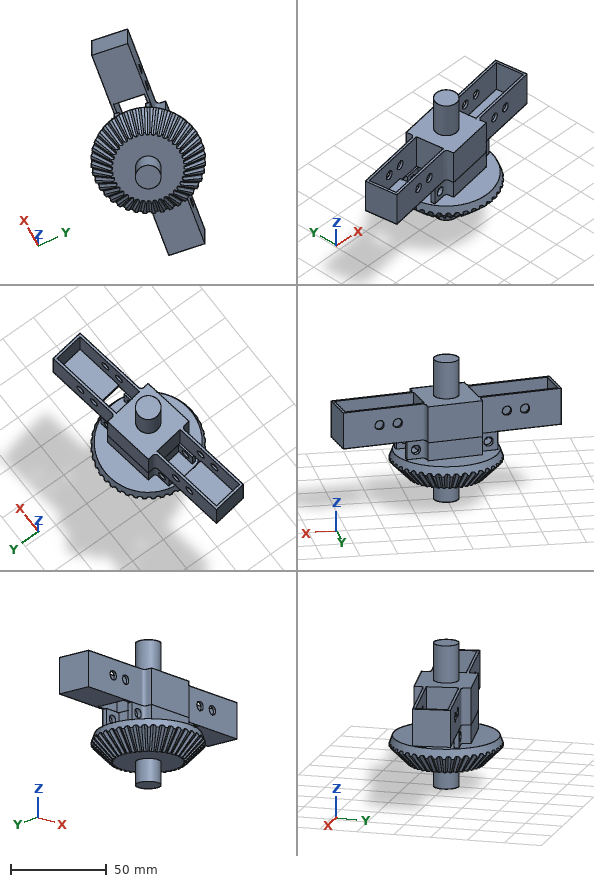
import cadquery as cq
import math

ARM_ANGLE = 8.5

SHAFT_DIAMETER = 13.4
SHAFT_LENGTH = 77.5
SHAFT_ABOVE_CARRIER = 20.1

GEAR_DIAMETER = 60.0
GEAR_BOTTOM_DIAMETER = 40.0
GEAR_BACK_HEIGHT = 5.0
GEAR_BACK_TAPER = 20.0
GROOVE_COUNT = 40
GROOVE_OUTER_DIAMETER = 2.9
GROOVE_INNER_DIAMETER = 2.3
GROOVE_OVERRUN = 0.25

BLOCK_SIDE = 30.0
BLOCK_FILLET = 2.0
CORNER_MARGIN = 0.1
ARM_WIDTH = 20.0

HUB_HEIGHT = 10.0
TAB_SPAN = 50.0
TAB_THICKNESS = 2.5
TAB_HOLE_SPACING = 40.0

OVERALL_LENGTH = 121.6
ARM_HEIGHT = 20.0
ARM_WALL = 1.5
ARM_FLOOR = 2.0
FLOOR_START = 30.0
ARM_HOLE_OFFSETS = (30.0, 40.0)

SCREW_HOLE_DIAMETER = 5.0

ARM_TURN = math.radians(ARM_ANGLE)
ARM_SPAN = (OVERALL_LENGTH - ARM_WIDTH * math.sin(ARM_TURN)) / math.cos(ARM_TURN)
GEAR_RADIUS = GEAR_DIAMETER / 2
GEAR_BOTTOM_RADIUS = GEAR_BOTTOM_DIAMETER / 2
GEAR_TOOTH_HEIGHT = GEAR_RADIUS - GEAR_BOTTOM_RADIUS
GEAR_HEIGHT = GEAR_TOOTH_HEIGHT + GEAR_BACK_HEIGHT
CARRIER_TOP = HUB_HEIGHT + ARM_HEIGHT


def shaft_cylinder():
    """Full-length shaft, also used as the tool for the bores around it."""
    bottom = CARRIER_TOP + SHAFT_ABOVE_CARRIER - SHAFT_LENGTH
    return cq.Workplane("XY").workplane(offset=bottom).circle(SHAFT_DIAMETER / 2).extrude(SHAFT_LENGTH)


def turned(body):
    """Turn a body drawn along X to the arm direction."""
    return body.rotate((0, 0, 0), (0, 0, 1), ARM_ANGLE)


def cross_block(length, bottom, height):
    """Square block with a bar through it along X and fillets in the inner corners."""
    start = cq.Workplane("XY").workplane(offset=bottom)
    bar = start.rect(length, ARM_WIDTH).extrude(height)
    corner_x = BLOCK_SIDE / 2 + CORNER_MARGIN
    corner_y = ARM_WIDTH / 2 + CORNER_MARGIN
    inner_corners = cq.selectors.BoxSelector(
        (-corner_x, -corner_y, bottom),
        (corner_x, corner_y, bottom + height),
    )
    cross = start.rect(BLOCK_SIDE, BLOCK_SIDE).extrude(height).union(bar)
    return cross.edges("|Z").edges(inner_corners).fillet(BLOCK_FILLET)


def end_pockets(inner_end, outer_end, width, bottom, height):
    """Pair of boxes, one on each side of the shaft, for hollowing both ends of a bar."""
    return (
        cq.Workplane("XY")
        .workplane(offset=bottom)
        .pushPoints([(side * (inner_end + outer_end) / 2, 0) for side in (-1, 1)])
        .rect(outer_end - inner_end, width)
        .extrude(height)
    )


def cross_holes(offsets, height):
    """Screw holes through the bar along Y, at each offset on both sides of the shaft."""
    return (
        cq.Workplane("XZ")
        .pushPoints([(side * offset, height) for side in (-1, 1) for offset in offsets])
        .circle(SCREW_HOLE_DIAMETER / 2)
        .extrude(ARM_WIDTH, both=True)
    )


def groove_section(position):
    """Circle parallel to the gear's back cone, centred on the tooth cone.

    Position 0 is at the bottom edge of the teeth and 1 at their wide rim.
    """
    radius = GEAR_BOTTOM_RADIUS + position * (GEAR_RADIUS - GEAR_BOTTOM_RADIUS)
    diameter = GROOVE_INNER_DIAMETER + position * (GROOVE_OUTER_DIAMETER - GROOVE_INNER_DIAMETER)
    center = cq.Vector(radius, 0, -GEAR_HEIGHT + position * GEAR_TOOTH_HEIGHT)
    back_taper = math.radians(GEAR_BACK_TAPER)
    normal = cq.Vector(math.cos(back_taper), 0, math.sin(back_taper))
    return cq.Wire.makeCircle(diameter / 2, center, normal)


def tooth_groove():
    """Round tapered cutter along the tooth cone, running past both of its ends."""
    sections = [groove_section(-GROOVE_OVERRUN), groove_section(1 + GROOVE_OVERRUN)]
    return cq.Solid.makeLoft(sections, True)


def gear_wheel():
    """Double cone with grooves around the lower, toothed cone."""
    top_radius = GEAR_RADIUS - GEAR_BACK_HEIGHT * math.tan(math.radians(GEAR_BACK_TAPER))
    profile = [
        (0, -GEAR_HEIGHT),
        (GEAR_BOTTOM_RADIUS, -GEAR_HEIGHT),
        (GEAR_RADIUS, -GEAR_BACK_HEIGHT),
        (top_radius, 0),
        (0, 0),
    ]
    wheel = cq.Workplane("XZ").polyline(profile).close().revolve(360, (0, 0, 0), (0, 1, 0))
    groove = tooth_groove()
    for index in range(GROOVE_COUNT):
        turn = index * 360 / GROOVE_COUNT
        wheel = wheel.cut(cq.Workplane(groove.rotate((0, 0, 0), (0, 0, 1), turn)))
    return wheel


def make_gear_hub():
    """Gear wheel with the square hub and its screw tabs on top."""
    hub = cross_block(TAB_SPAN, 0, HUB_HEIGHT)
    tab_gap = ARM_WIDTH - 2 * TAB_THICKNESS
    hub = hub.cut(end_pockets(BLOCK_SIDE / 2, TAB_SPAN / 2, tab_gap, 0, HUB_HEIGHT))
    hub = hub.cut(cross_holes([TAB_HOLE_SPACING / 2], HUB_HEIGHT / 2))
    return gear_wheel().union(turned(hub)).cut(shaft_cylinder())


def make_arm_carrier():
    """Square block with two open-topped box arms, floored only towards their ends."""
    carrier = cross_block(ARM_SPAN, HUB_HEIGHT, ARM_HEIGHT)
    inside_end = ARM_SPAN / 2 - ARM_WALL
    inside_width = ARM_WIDTH - 2 * ARM_WALL
    floor_top = HUB_HEIGHT + ARM_FLOOR
    inside_height = ARM_HEIGHT - ARM_FLOOR
    carrier = carrier.cut(end_pockets(BLOCK_SIDE / 2, inside_end, inside_width, floor_top, inside_height))
    carrier = carrier.cut(end_pockets(BLOCK_SIDE / 2, FLOOR_START, inside_width, HUB_HEIGHT, ARM_FLOOR))
    carrier = carrier.cut(cross_holes(ARM_HOLE_OFFSETS, floor_top + inside_height / 2))
    return turned(carrier).cut(shaft_cylinder())


shaft = shaft_cylinder()
gear_hub = make_gear_hub()
arm_carrier = make_arm_carrier()

result = cq.Compound.makeCompound([shaft.val(), *gear_hub.vals(), *arm_carrier.vals()])